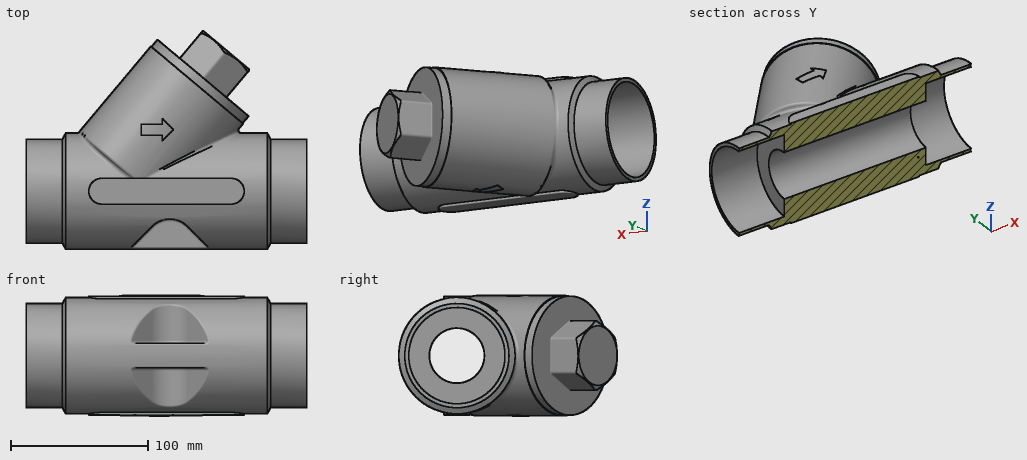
import cadquery as cq
import math

pipe_length = 205.0
pipe_diameter = 76.1
pipe_bore_diameter = 70.3
pipe_bore_depth = 40.0
seat_diameter = 40.0
body_length = 152.0
body_diameter = 85.0
shoulder_length = 2.5

branch_angle = 50.0
branch_axis_x = -42.7
branch_diameter = 88.0
branch_start = 18.4
branch_top = 108.0
cap_diameter = 87.0
cap_height = 6.9
branch_end_round = 2.3
step_fillet = 2.3
crotch_fillet = 1.9

hex_across_flats = 44.5
hex_height = 26.37
hex_corner_fillet = 2.5
hex_end_chamfer_angle = 30.0
hex_end_land_diameter = 43.5
hex_base_fillet = 0.6

plate_length = 113.4
plate_width = 18.8
plate_face_z = 43.4
plate_edge_fillet = 0.5
plate_overlap = 1.4

arrow_tail_x = -18.5
arrow_neck_x = -3.1
arrow_tip_x = 5.1
arrow_axis_y = 44.9
arrow_shaft_width = 8.2
arrow_head_width = 16.2
arrow_face_diameter = 88.38

recess_x = 2.4
recess_apex_y = -20.3
recess_nose_radius = 18.0
recess_flank_angle = 45.0
recess_floor_z = 9.0
recess_floor_fillet = 2.0
recess_rim_fillet = 1.5

surface_tolerance = 1e-3


def branch_plane(distance):
    """Plane across the branch axis at a distance from the pipe axis, with Z as its local Y."""
    angle = math.radians(branch_angle)
    direction = cq.Vector(math.cos(angle), math.sin(angle), 0)
    sideways = cq.Vector(-math.sin(angle), math.cos(angle), 0)
    origin = cq.Vector(branch_axis_x, 0, 0) + direction * distance
    return cq.Plane(origin=origin, xDir=sideways, normal=direction)


def rod(length, diameter):
    """Cylinder on the X axis, centred on the origin."""
    return cq.Workplane("YZ").circle(diameter / 2).extrude(length / 2, both=True)


def make_body():
    """Turned body whose conical shoulders run down to the pipe surface."""
    half = body_length / 2
    return (
        cq.Workplane("XY")
        .moveTo(-half, 0)
        .lineTo(-half, pipe_diameter / 2)
        .lineTo(-half + shoulder_length, body_diameter / 2)
        .lineTo(half - shoulder_length, body_diameter / 2)
        .lineTo(half, pipe_diameter / 2)
        .lineTo(half, 0)
        .close()
        .revolve(360, (0, 0, 0), (1, 0, 0))
    )


def make_pipe_ends():
    return rod(pipe_length, pipe_diameter).cut(rod(body_length, pipe_diameter))


def make_branch():
    barrel_height = branch_top - cap_height - branch_start
    barrel = cq.Workplane(branch_plane(branch_start)).circle(branch_diameter / 2).extrude(barrel_height)
    lower_end = cq.selectors.DirectionMinMaxSelector(branch_plane(0).zDir, False)
    return barrel.faces(lower_end).edges().fillet(branch_end_round)


def lies_on_body(edge):
    """True if the start, middle and end of the edge are on the cylindrical body surface."""
    points = [edge.positionAt(t) for t in (0, 0.5, 1)]
    return all(abs(math.hypot(p.y, p.z) - body_diameter / 2) < surface_tolerance for p in points)


def junction_edges(part):
    """Edges, neither straight nor circular, on the body surface, where the branch meets it."""
    return [
        edge for edge in part.edges().vals()
        if lies_on_body(edge) and edge.geomType() not in ("LINE", "CIRCLE")
    ]


def branch_side(edge):
    """Sideways offset of an edge's centre from the branch axis, positive on the obtuse side."""
    return branch_plane(0).toLocalCoords(edge.Center()).x


def blend_branch(body):
    """Body and branch beyond the plate edge, with both stretches of their junction filleted."""
    cut_y = plate_width / 2 - plate_overlap
    joined = body.union(make_branch())
    keep = cq.Workplane("XY", origin=(0, cut_y, 0)).box(
        pipe_length, pipe_length, pipe_length, centered=(True, False, True)
    )
    joined = joined.intersect(keep)
    step = [edge for edge in junction_edges(joined) if branch_side(edge) > 0]
    joined = joined.newObject(step).fillet(step_fillet)
    crotch = [edge for edge in junction_edges(joined) if branch_side(edge) < 0]
    return joined.newObject(crotch).fillet(crotch_fillet)


def make_hexagon():
    """Hexagon with rounded corners and a turned chamfer on its end."""
    across_corners = hex_across_flats / math.cos(math.pi / 6)
    blank = (
        cq.Workplane(branch_plane(branch_top))
        .transformed(rotate=(0, 0, 90))
        .polygon(6, across_corners)
        .extrude(hex_height)
    )
    axis = branch_plane(0).zDir
    blank = blank.edges(cq.selectors.ParallelDirSelector(axis)).fillet(hex_corner_fillet)
    chamfer_cone = (
        cq.Workplane(branch_plane(branch_top + hex_height))
        .circle(hex_end_land_diameter / 2)
        .extrude(-hex_height, taper=hex_end_chamfer_angle - 90)
    )
    return blank.intersect(chamfer_cone)


def make_cap():
    """Cap disc with the hexagon standing on it, filleted around the foot of the hexagon."""
    disc = cq.Workplane(branch_plane(branch_top - cap_height)).circle(cap_diameter / 2).extrude(cap_height)
    cap = disc.union(make_hexagon())
    seat = branch_plane(branch_top)
    foot = []
    for edge in cap.edges().vals():
        points = [seat.toLocalCoords(edge.positionAt(t)) for t in (0, 0.5, 1)]
        on_seat = all(abs(p.z) < surface_tolerance for p in points)
        inside_rim = all(math.hypot(p.x, p.y) < cap_diameter / 2 - surface_tolerance for p in points)
        if on_seat and inside_rim:
            foot.append(edge)
    return cap.newObject(foot).fillet(hex_base_fillet)


def make_plates():
    """One stadium block through the body; its two ends form the plates above and below."""
    block = cq.Workplane("XY").slot2D(plate_length, plate_width).extrude(plate_face_z, both=True)
    return block.faces("<Z or >Z").edges().fillet(plate_edge_fillet)


def make_arrows():
    """Arrows standing slightly proud of the branch, above and below, pointing along +X."""
    shaft = arrow_shaft_width / 2
    head = arrow_head_width / 2
    upper_side = [(arrow_tail_x, shaft), (arrow_neck_x, shaft), (arrow_neck_x, head)]
    lower_side = [(x, -y) for x, y in reversed(upper_side)]
    outline = (
        cq.Workplane("XY", origin=(0, arrow_axis_y, 0))
        .polyline(upper_side + [(arrow_tip_x, 0)] + lower_side)
        .close()
        .extrude(arrow_face_diameter, both=True)
    )
    face_cylinder = cq.Workplane(branch_plane(0)).circle(arrow_face_diameter / 2).extrude(branch_top)
    return outline.intersect(face_cylinder)


def make_recess():
    """Blunt wedge above the middle web, open towards -Y and +Z."""
    flank = math.radians(recess_flank_angle)
    tangent_x = recess_nose_radius * math.cos(flank)
    tangent_y = recess_apex_y - recess_nose_radius * (1 - math.sin(flank))
    outer_y = -body_diameter
    outer_x = tangent_x + (tangent_y - outer_y) * math.tan(flank)
    wedge = (
        cq.Workplane("XY", origin=(recess_x, 0, recess_floor_z))
        .moveTo(-outer_x, outer_y)
        .lineTo(-tangent_x, tangent_y)
        .threePointArc((0, recess_apex_y), (tangent_x, tangent_y))
        .lineTo(outer_x, outer_y)
        .close()
        .extrude(body_diameter)
    )
    return wedge.faces("<Z").edges("not <Y").fillet(recess_floor_fillet)


def cut_recesses(part):
    """Cut the mirrored pair of recesses and round their rims on the body surface."""
    upper = make_recess()
    part = part.cut(upper).cut(upper.mirror("XY"))
    rims = [
        edge for edge in part.edges().vals()
        if lies_on_body(edge) and abs(edge.Center().x) < body_length / 4 and edge.Center().y < 0
    ]
    return part.newObject(rims).fillet(recess_rim_fillet)


def cut_bores(part):
    part = part.cut(rod(pipe_length, seat_diameter))
    for face in ("<X", ">X"):
        end = part.faces(face).workplane(centerOption="CenterOfBoundBox")
        part = end.hole(pipe_bore_diameter, pipe_bore_depth)
    return part


body = make_body()
result = cut_recesses(body).union(blend_branch(body))
for addition in (make_cap(), make_plates(), make_arrows(), make_pipe_ends()):
    result = result.union(addition)
result = cut_bores(result)